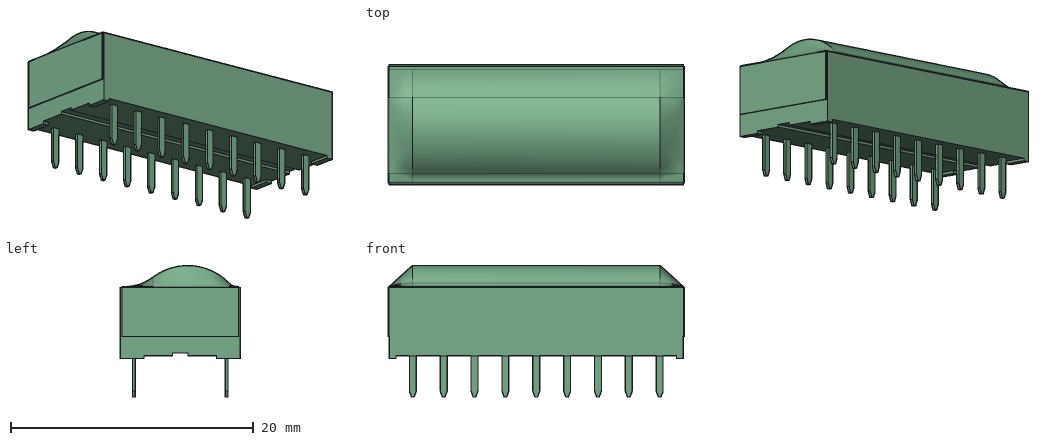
import cadquery as cq
import math

overall_length = 24.42
housing_width = 9.9
housing_height = 5.85

skin_thickness = 0.1
sheet_thickness = 0.07
cover_width = 9.62
cover_bottom = 1.83
housing_length = overall_length - 2 * skin_thickness
cover_top = housing_height + sheet_thickness

foot_length = 0.59
foot_height = 0.22
foot_gap = 5.93
groove_width = 1.25
groove_depth = 0.22

pins_per_row = 9
pin_pitch = 2.55
row_spacing = 7.62
pin_width = 0.59
pin_thickness = 0.25
pin_depth = 3.17
tip_length = 0.5
tip_width = 0.22
tip_start = tip_length - pin_depth

lens_top = 7.67
crown_radius = 4.74
crown_center_y = -0.6
crown_center_z = lens_top - crown_radius
crown_edge_front = -4.0
crown_edge_back = 2.25
crown_half_length = 10.2


def centered_box(length, width, bottom, top):
    """Block centred on X and Y between two heights."""
    return cq.Workplane("XY").workplane(offset=bottom).rect(length, width).extrude(top - bottom)


def make_housing():
    housing = centered_box(housing_length, housing_width, 0, housing_height)
    length_between_feet = housing_length - 2 * foot_length
    across_recess = centered_box(length_between_feet, housing_width, 0, foot_height)
    along_recess = centered_box(housing_length, foot_gap, 0, foot_height)
    groove = centered_box(housing_length, groove_width, 0, foot_height + groove_depth)
    return housing.cut(across_recess).cut(along_recess).cut(groove)


def make_cover():
    end_skins = centered_box(overall_length, cover_width, cover_bottom, housing_height)
    top_sheet = centered_box(housing_length, cover_width, housing_height, cover_top)
    return end_skins.union(top_sheet)


def make_pin():
    """One pin centred on the Z axis, rooted in the housing above its feet."""
    half_width = pin_width / 2
    half_tip = tip_width / 2
    root = foot_height + groove_depth
    outline = [
        (-half_width, root),
        (-half_width, tip_start),
        (-half_tip, -pin_depth),
        (half_tip, -pin_depth),
        (half_width, tip_start),
        (half_width, root),
    ]
    return cq.Workplane("XZ").polyline(outline).close().extrude(pin_thickness / 2, both=True)


def make_pins():
    pin = make_pin().val()
    spots = cq.Workplane("XY").rarray(pin_pitch, row_spacing, pins_per_row, 2)
    return spots.eachpoint(lambda location: pin.moved(location))


def crown_edge_height(edge_y):
    """Height of the crown arc at a given Y."""
    return crown_center_z + math.sqrt(crown_radius**2 - (edge_y - crown_center_y) ** 2)


def hollow_arc(edge_y):
    """End and middle points of the arc from the crown edge down to lie flat on the cover."""
    edge_z = crown_edge_height(edge_y)
    slope = math.asin((edge_y - crown_center_y) / crown_radius)
    radius = (edge_z - cover_top) / (1 - math.cos(slope))
    end_y = edge_y + radius * math.sin(slope)
    middle_y = end_y - radius * math.sin(slope / 2)
    middle_z = cover_top + radius * (1 - math.cos(slope / 2))
    return (end_y, cover_top), (middle_y, middle_z)


front_end, front_middle = hollow_arc(crown_edge_front)
back_end, back_middle = hollow_arc(crown_edge_back)


def lens_section(x):
    """Full cross-section of the lens, rooted in the cover sheet."""
    return (
        cq.Workplane("YZ", origin=(x, 0, 0))
        .moveTo(front_end[0], housing_height)
        .lineTo(*front_end)
        .threePointArc(front_middle, (crown_edge_front, crown_edge_height(crown_edge_front)))
        .threePointArc((crown_center_y, lens_top), (crown_edge_back, crown_edge_height(crown_edge_back)))
        .threePointArc(back_middle, back_end)
        .lineTo(back_end[0], housing_height)
        .close()
        .val()
    )


def flat_section(x):
    """Lens cross-section where it has run out level with the cover."""
    return (
        cq.Workplane("YZ", origin=(x, 0, 0))
        .moveTo(front_end[0], housing_height)
        .lineTo(*front_end)
        .lineTo(crown_edge_front, cover_top)
        .lineTo(crown_edge_back, cover_top)
        .lineTo(*back_end)
        .lineTo(back_end[0], housing_height)
        .close()
        .val()
    )


def make_lens():
    sections = [
        flat_section(-housing_length / 2),
        lens_section(-crown_half_length),
        lens_section(crown_half_length),
        flat_section(housing_length / 2),
    ]
    return cq.Workplane(cq.Solid.makeLoft(sections, True))


def make_lips():
    """Bevels that carry the crown's sloping ends down to the outer edge of the end skins."""
    outline = [
        (-overall_length / 2, housing_height),
        (-housing_length / 2, cover_top),
        (housing_length / 2, cover_top),
        (overall_length / 2, housing_height),
    ]
    crown_width = crown_edge_back - crown_edge_front
    start = cq.Workplane("XZ", origin=(0, crown_edge_back, 0))
    return start.polyline(outline).close().extrude(crown_width)


result = make_housing().union(make_cover()).union(make_lens()).union(make_lips()).union(make_pins())